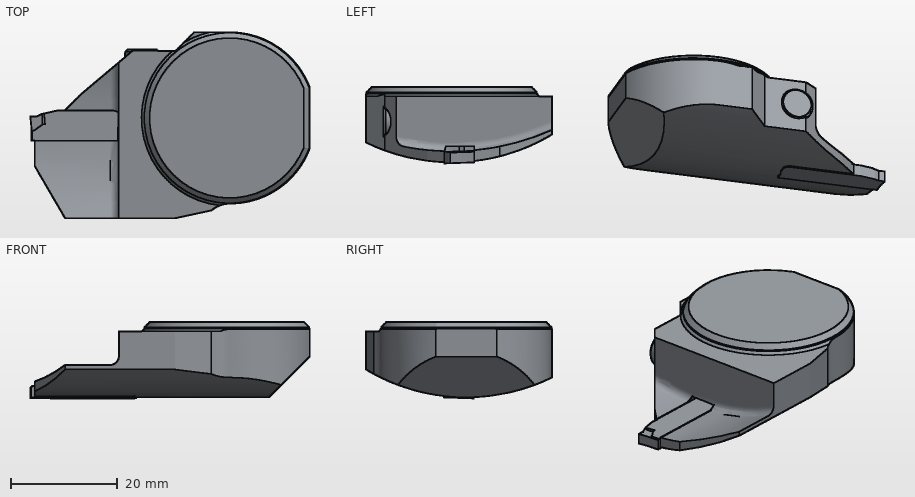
import cadquery as cq
import math


DISC_R = 16.05
RIGHT_FLAT_X = 15.0
FRONT_Y = -18.8
BACK_Y = 12.55
TONGUE_TIP_X = -36.5
TONGUE_CORNER_Y = -9.0
FRONT_SLANT_END_X = -30.8
FRONT_TAPER = [(-10.2, FRONT_Y), (-3.4, -17.35)]
BACK_KINK = (-27.7, 4.55)
BACK_SLANT_END_X = -18.15
BACK_LUG_X = -6.6

BODY_TOP = 12.35
DISC_TOP = 14.15
BELLY_R = 36.4
END_CHAMFER = 7.65

RIM_R = 15.95
RIM_BOTTOM = 12.9
RIM_CHAMFER = 1.0
COLLAR_R = 16.5
RIM_FLAT_X = RIGHT_FLAT_X - 0.1

WALL_X = -20.75
TONGUE_Z = 2.1
HOLLOW_R = 46.05
HOLLOW_FILLET = 1.55

BUTTON_X = -16.4
BUTTON_Z = 7.65
BUTTON_R = 3.2
BUTTON_RAISE = 0.25
BUTTON_CHAMFER = 0.45
BUTTON_LENGTH = 5.25

INSERT_FRONT_Y = -4.25
INSERT_BACK_Y = 1.4
INSERT_TIP = (-37.3, 0.3)
INSERT_NOSE_X = -37.1
INSERT_NOSE_Y = -1.75
INSERT_BACK_TAPER = [(-32.25, INSERT_BACK_Y), (-35.25, 0.75), (-36.05, INSERT_TIP[1])]
INSERT_REAR_X = -17.45
INSERT_REAR_R = 1.15
REAR_STEP = 0.3
REAR_STEP_Y = (-2.3, -1.35)
INSERT_BOTTOM = -0.2
INSERT_THICKNESS = 2.2
INSERT_TILT = 2.0
CUTTING_EDGE_CHAMFER = 0.2
SLOT_ROOF = 3.05
SLOT_ROOF_BACK_Y = 1.1

POCKET_FLOOR = 1.9
POCKET_CORNERS = [(INSERT_NOSE_X, -2.45), (-36.5, -2.3), (-35.0, -1.2)]
POCKET_RAMP_RUN = 0.5
POCKET_RAMP_RISE = 0.2

MARGIN = 5.25
LENGTH_X = RIGHT_FLAT_X - INSERT_TIP[0]


def housing_outline():
    """Plan outline of the housing, with a concave blend into the round end."""
    flat_half = math.sqrt(DISC_R**2 - RIGHT_FLAT_X**2)
    taper_x, taper_y = FRONT_TAPER[-1]
    drop = -DISC_R - taper_y
    blend_r = (taper_x**2 + drop**2) / (2 * drop)
    half_angle = math.asin(-taper_x / blend_r) / 2
    blend_mid = (
        -blend_r * math.sin(half_angle),
        -DISC_R - blend_r * (1 - math.cos(half_angle)),
    )
    diagonal = DISC_R * math.sqrt(0.5)
    kink_x, kink_y = BACK_KINK
    return (
        cq.Workplane("XY")
        .moveTo(TONGUE_TIP_X, TONGUE_CORNER_Y)
        .lineTo(FRONT_SLANT_END_X, FRONT_Y)
        .lineTo(*FRONT_TAPER[0])
        .lineTo(*FRONT_TAPER[1])
        .threePointArc(blend_mid, (0, -DISC_R))
        .threePointArc((diagonal, -diagonal), (RIGHT_FLAT_X, -flat_half))
        .lineTo(RIGHT_FLAT_X, flat_half)
        .threePointArc((diagonal, diagonal), (0, DISC_R))
        .lineTo(BACK_LUG_X, DISC_R)
        .lineTo(BACK_LUG_X - (DISC_R - BACK_Y), BACK_Y)
        .lineTo(BACK_SLANT_END_X, BACK_Y)
        .lineTo(kink_x, kink_y)
        .lineTo(kink_x - (kink_y - INSERT_BACK_Y), INSERT_BACK_Y)
        .lineTo(TONGUE_TIP_X, INSERT_FRONT_Y)
        .close()
    )


def collar():
    """Cone that rises from the housing top to the rim of the disc."""
    return (
        cq.Workplane("XZ")
        .polyline([(0, BODY_TOP), (COLLAR_R, BODY_TOP), (RIM_R, RIM_BOTTOM), (0, RIM_BOTTOM)])
        .close()
        .revolve(360, (0, 0, 0), (0, 1, 0))
    )


def disc():
    """Chamfered disc with one flat side."""
    height = DISC_TOP - RIM_BOTTOM
    beyond_flat = cq.Workplane("XY", origin=(RIM_FLAT_X, 0, RIM_BOTTOM)).box(
        MARGIN, 2 * RIM_R, height, centered=(False, True, False)
    )
    round_disc = cq.Workplane("XY").workplane(offset=RIM_BOTTOM).circle(RIM_R).extrude(height)
    return round_disc.cut(beyond_flat).faces(">Z").chamfer(RIM_CHAMFER)


def belly():
    """Large lying cylinder that rounds the underside."""
    return (
        cq.Workplane("YZ", origin=(INSERT_TIP[0] - MARGIN, 0, 0))
        .center(0, BELLY_R)
        .circle(BELLY_R)
        .extrude(LENGTH_X + 2 * MARGIN)
    )


def tongue_hollow():
    """Lying cylinder with a rounded end, which clears the space above the tongue."""
    start_x = INSERT_TIP[0] - MARGIN
    return (
        cq.Workplane("YZ", origin=(start_x, 0, 0))
        .center(0, TONGUE_Z + HOLLOW_R)
        .circle(HOLLOW_R)
        .extrude(WALL_X - start_x)
        .faces(">X")
        .edges()
        .fillet(HOLLOW_FILLET)
    )


def end_chamfer():
    """Wedge cut away under the flat end."""
    return (
        cq.Workplane("XZ", origin=(0, DISC_R + MARGIN, 0))
        .polyline([
            (RIGHT_FLAT_X - END_CHAMFER - MARGIN, -MARGIN),
            (RIGHT_FLAT_X + MARGIN, -MARGIN),
            (RIGHT_FLAT_X + MARGIN, END_CHAMFER + MARGIN),
        ])
        .close()
        .extrude(2 * (DISC_R + MARGIN))
    )


def side_button():
    """Chamfered round button, standing a little proud of the back face."""
    return (
        cq.Workplane("XZ", origin=(BUTTON_X, BACK_Y + BUTTON_RAISE, BUTTON_Z))
        .circle(BUTTON_R)
        .extrude(BUTTON_LENGTH)
        .faces(">Y")
        .chamfer(BUTTON_CHAMFER)
    )


def insert_prism():
    """Upright prism with the plan outline of the insert."""
    step_front_y, step_back_y = REAR_STEP_Y
    outline = [
        (INSERT_NOSE_X, INSERT_FRONT_Y),
        (INSERT_REAR_X - REAR_STEP, INSERT_FRONT_Y),
        (INSERT_REAR_X - REAR_STEP, step_front_y),
        (INSERT_REAR_X, step_back_y),
        (INSERT_REAR_X, INSERT_BACK_Y),
        *INSERT_BACK_TAPER,
        INSERT_TIP,
        (INSERT_NOSE_X, INSERT_NOSE_Y),
    ]
    return (
        cq.Workplane("XY")
        .workplane(offset=-MARGIN)
        .polyline(outline)
        .close()
        .extrude(SLOT_ROOF + 2 * MARGIN)
        .edges("|Z")
        .edges(">X")
        .edges(">Y")
        .fillet(INSERT_REAR_R)
    )


def lengthwise_bar(section):
    """Bar along X with the given Y-Z section, longer than the insert."""
    return (
        cq.Workplane("YZ", origin=(INSERT_TIP[0] - MARGIN, 0, 0))
        .polyline(section)
        .close()
        .extrude(LENGTH_X)
    )


def insert_slot():
    """Slot through the underside, with clearance above the insert."""
    section = [
        (INSERT_FRONT_Y, -MARGIN),
        (INSERT_BACK_Y, -MARGIN),
        (INSERT_BACK_Y, INSERT_BOTTOM + INSERT_THICKNESS),
        (SLOT_ROOF_BACK_Y, SLOT_ROOF),
        (INSERT_FRONT_Y, SLOT_ROOF),
    ]
    return insert_prism().intersect(lengthwise_bar(section))


def make_housing():
    base = housing_outline().extrude(BODY_TOP)
    footprint = housing_outline().extrude(DISC_TOP)
    return (
        base
        .union(collar().intersect(footprint))
        .union(disc())
        .intersect(belly())
        .cut(tongue_hollow())
        .cut(end_chamfer())
        .union(side_button())
        .cut(insert_slot())
    )


def chip_pocket():
    """Shallow flat-floored pocket, open at the tip and at the back side of the insert."""
    outer_x = INSERT_TIP[0] - MARGIN
    outer_y = INSERT_BACK_Y + MARGIN
    rear_x = POCKET_CORNERS[-1][0]
    outline = [
        (outer_x, POCKET_CORNERS[0][1]),
        *POCKET_CORNERS,
        (rear_x, outer_y),
        (outer_x, outer_y),
    ]
    return cq.Workplane("XY").workplane(offset=POCKET_FLOOR).polyline(outline).close().extrude(MARGIN)


def chip_ramp():
    """Wedge that slopes the rear wall of the chip pocket."""
    rear_x, rear_y = POCKET_CORNERS[-1]
    outer_y = INSERT_BACK_Y + MARGIN
    return (
        cq.Workplane("XZ", origin=(rear_x, outer_y, POCKET_FLOOR))
        .polyline([(0, 0), (POCKET_RAMP_RUN, POCKET_RAMP_RISE), (0, POCKET_RAMP_RISE)])
        .close()
        .extrude(outer_y - rear_y)
    )


def make_insert():
    """Flat cutting insert, tilted about X so that it follows the tongue face."""
    rise = (INSERT_BACK_Y - INSERT_FRONT_Y) * math.tan(math.radians(INSERT_TILT))
    section = [
        (INSERT_FRONT_Y, INSERT_BOTTOM + rise),
        (INSERT_BACK_Y, INSERT_BOTTOM),
        (INSERT_BACK_Y, INSERT_BOTTOM + INSERT_THICKNESS),
        (INSERT_FRONT_Y, INSERT_BOTTOM + INSERT_THICKNESS + rise),
    ]
    blank = insert_prism().intersect(lengthwise_bar(section))
    cutting_edges = cq.selectors.BoxSelector(
        (INSERT_TIP[0] - MARGIN, INSERT_FRONT_Y, INSERT_THICKNESS / 2),
        (INSERT_NOSE_X + CUTTING_EDGE_CHAMFER, INSERT_TIP[1], INSERT_THICKNESS + MARGIN),
    )
    sharpened = blank.edges(cutting_edges).chamfer(CUTTING_EDGE_CHAMFER)
    return sharpened.cut(chip_pocket()).cut(chip_ramp())


housing = make_housing()
insert = make_insert()

result = cq.Compound.makeCompound([housing.val(), insert.val()])